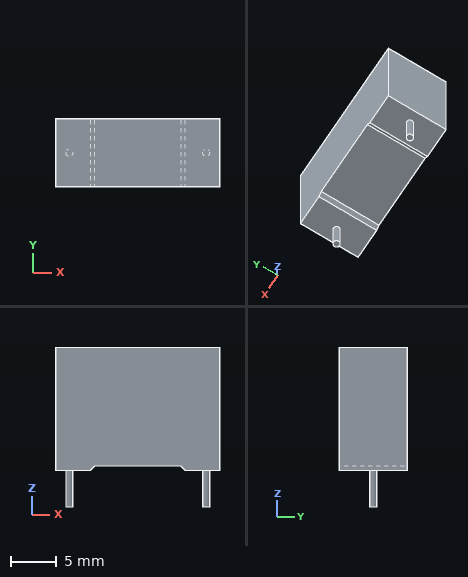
import cadquery as cq


body_length = 18.0
body_width = 7.5
body_height = 13.5

relief_depth = 0.49
relief_bottom_length = 10.4
relief_top_length = relief_bottom_length - 2 * relief_depth

lead_diameter = 0.8
lead_spacing = 15.0
lead_length = 4.0


def make_body():
    """Solid block with its underside at Z = 0."""
    return cq.Workplane("XY").box(
        body_length, body_width, body_height, centered=(True, True, False)
    )


def make_relief():
    """Trapezoidal prism running through the full width of the body."""
    outline = [
        (-relief_bottom_length / 2, 0),
        (relief_bottom_length / 2, 0),
        (relief_top_length / 2, relief_depth),
        (-relief_top_length / 2, relief_depth),
    ]
    return cq.Workplane("XZ").polyline(outline).close().extrude(body_width / 2, both=True)


def make_leads():
    """Two straight round leads hanging from the underside."""
    lead_centres = [(side * lead_spacing / 2, 0) for side in (-1, 1)]
    return (
        cq.Workplane("XY")
        .pushPoints(lead_centres)
        .circle(lead_diameter / 2)
        .extrude(-lead_length)
    )


result = make_body().cut(make_relief()).union(make_leads())